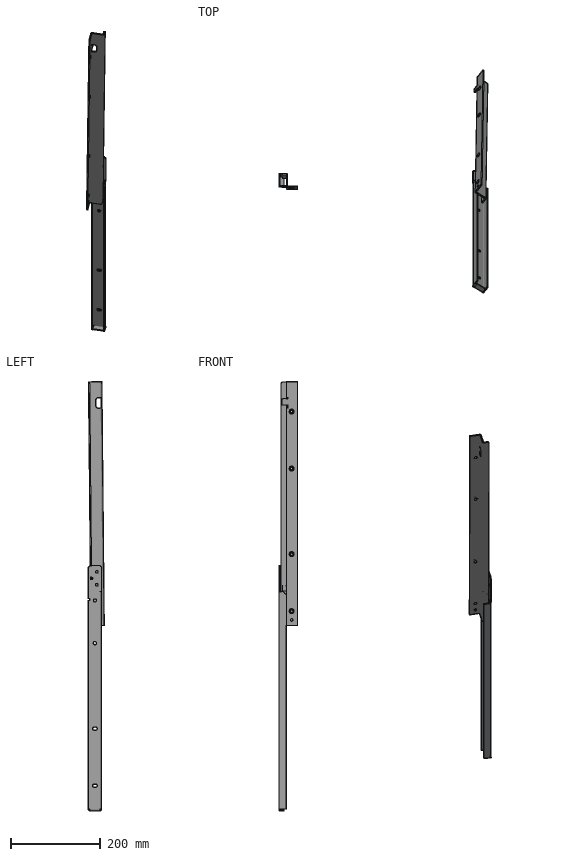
import cadquery as cq
import math

sheet = 3.0
outer_bend = 3.5
overall_height = 964.18
overall_depth = 36.43
overall_width = 42.5
rail_depth = 30.5
system_pitch = 32.0

lower_length = 551.0
lower_front = overall_depth - rail_depth
lower_middle = lower_front + rail_depth / 2
channel_width = 16.8
web_corner = 4.0
front_flange_top = 492.5
front_flange_chamfer = 7.0
back_flange_top = 473.0
relief_height = 4.0
flange_bottom = 4.5
floor_reach = 12.0
floor_taper = 4.0
lowest_slot = 57.0
slot_steps = (0, 4)
hole_steps = (10, 13)
small_hole_diameter = 7.0
slot_length = 10.0
slot_height = 6.5
rivet_pitch = 29.0
rivet_diameter = 6.0
rivet_middle = 522.5
rivet_offset = 4.4
locating_diameter = 5.0
locating_offset = 7.3

upper_bottom = 416.6
lean_angle = 0.56
upper_length = (overall_height - upper_bottom) / math.cos(math.radians(lean_angle))
back_flange_edge = 4.8
web_start = channel_width
flange_corner = 3.0
stop_top = 90.0
stop_height = 12.0
stop_depth = 3.8
stop_edge = 8.5
screw_x = 28.9
first_screw = 32.4
screw_diameter = 5.5
countersink_diameter = 11.0
countersink_angle = 90.0
screw_steps = (0, 4, 10, 14)
pin_hole_height = 12.6
pin_hole_diameter = 5.0
hook_edge = 7.2
hook_height = 14.5
hook_middle = 502.0
hook_corner = 2.0
window_height = 23.0
window_middle = 500.0
window_depth = 14.0
window_corner = 5.0


def box(x_range, y_range, z_range):
    sizes = [end - start for start, end in (x_range, y_range, z_range)]
    return cq.Workplane().box(*sizes, centered=False).translate((x_range[0], y_range[0], z_range[0]))


def rod_x(diameter, y, z, length):
    return cq.Workplane("YZ").center(y, z).circle(diameter / 2).extrude(length)


def add_bend(outline, start, corner, end):
    """Adds a line to start, then a quarter round to end in place of the square corner."""
    share = 1 - math.sqrt(0.5)
    middle = [c + ((s - c) + (e - c)) * share for s, c, e in zip(start, corner, end)]
    return outline.lineTo(*start).threePointArc(tuple(middle), end)


def make_flange(y_outer, inward, top):
    """Side flange with its bend. Inward is +1 for the front flange and -1 for the back one."""
    y_inner = y_outer + inward * sheet
    y_tangent = y_outer + inward * outer_bend
    outline = cq.Workplane("XY", origin=(0, 0, flange_bottom)).moveTo(sheet, y_tangent)
    outline = add_bend(outline, (0, y_tangent), (0, y_outer), (outer_bend, y_outer))
    outline = outline.lineTo(channel_width, y_outer).lineTo(channel_width, y_inner)
    outline = add_bend(outline, (outer_bend, y_inner), (sheet, y_inner), (sheet, y_tangent))
    return outline.close().extrude(top - flange_bottom)


def make_floor():
    """Tapered floor, joined to the web by a bend."""
    outline = cq.Workplane("XZ", origin=(0, overall_depth, 0)).moveTo(sheet, outer_bend)
    outline = add_bend(outline, (0, outer_bend), (0, 0), (outer_bend, 0))
    outline = outline.lineTo(floor_reach, 0).lineTo(floor_reach, sheet)
    outline = add_bend(outline, (outer_bend, sheet), (sheet, sheet), (sheet, outer_bend))
    bent_strip = outline.close().extrude(rail_depth)
    taper_outline = (
        cq.Workplane("YZ")
        .moveTo(lower_front + floor_taper, 0)
        .lineTo(overall_depth - floor_taper, 0)
        .lineTo(overall_depth, outer_bend)
        .lineTo(lower_front, outer_bend)
        .close()
        .extrude(floor_reach)
    )
    return bent_strip.intersect(taper_outline)


def make_lower_rail():
    front_bend = lower_front + outer_bend
    back_bend = overall_depth - outer_bend
    rail = box((0, sheet), (front_bend, back_bend), (outer_bend, lower_length))
    rail = rail.union(box((0, sheet), (lower_front, front_bend), (front_flange_top, lower_length)))
    relief_top = back_flange_top + relief_height
    rail = rail.union(box((0, sheet), (back_bend, overall_depth), (relief_top, lower_length)))
    rail = rail.edges("|X and >Z").chamfer(web_corner)

    front_flange = make_flange(lower_front, 1, front_flange_top)
    front_flange = front_flange.edges("|Y and >X and >Z").chamfer(front_flange_chamfer)
    rail = rail.union(front_flange)
    rail = rail.union(make_flange(overall_depth, -1, back_flange_top))
    rail = rail.union(make_floor())

    for step in slot_steps:
        z = lowest_slot + step * system_pitch
        slot = cq.Workplane("YZ").center(lower_middle, z).slot2D(slot_length, slot_height).extrude(sheet)
        rail = rail.cut(slot)
    for step in hole_steps:
        z = lowest_slot + step * system_pitch
        rail = rail.cut(rod_x(small_hole_diameter, lower_middle, z, sheet))

    for z in (rivet_middle - rivet_pitch / 2, rivet_middle + rivet_pitch / 2):
        rail = rail.cut(rod_x(rivet_diameter, lower_middle - rivet_offset, z, sheet))
    return rail.cut(rod_x(locating_diameter, lower_middle + locating_offset, rivet_middle, sheet))


def make_upper_rail():
    """Built upright from Z = 0 with its front plate on Y = 0, then leaned and lifted."""
    web_end = web_start + sheet
    back_inner = rail_depth - sheet
    front_tangent = web_start + outer_bend
    back_tangent = web_end - outer_bend

    outline = cq.Workplane("XY").moveTo(overall_width, 0).lineTo(overall_width, sheet)
    outline = add_bend(outline, (front_tangent, sheet), (web_end, sheet), (web_end, outer_bend))
    outline = add_bend(
        outline,
        (web_end, rail_depth - outer_bend),
        (web_end, rail_depth),
        (back_tangent, rail_depth),
    )
    outline = outline.lineTo(back_flange_edge, rail_depth).lineTo(back_flange_edge, back_inner)
    outline = add_bend(
        outline,
        (back_tangent, back_inner),
        (web_start, back_inner),
        (web_start, rail_depth - outer_bend),
    )
    outline = add_bend(outline, (web_start, outer_bend), (web_start, 0), (front_tangent, 0))
    rail = outline.close().extrude(upper_length)

    stop = (
        cq.Workplane("YZ", origin=(stop_edge, 0, 0))
        .moveTo(back_inner, stop_top)
        .lineTo(back_inner - stop_depth, stop_top - stop_height)
        .lineTo(back_inner, stop_top - stop_height)
        .close()
        .extrude(web_start - stop_edge)
    )
    rail = rail.union(stop)
    rail = rail.edges("|Y and <X and >Z").chamfer(flange_corner)

    window = box(
        (web_start, front_tangent),
        (0, window_depth),
        (window_middle - window_height / 2, window_middle + window_height / 2),
    )
    window = window.edges("|X and >Y").fillet(window_corner)
    hook = box(
        (hook_edge, front_tangent),
        (0, sheet),
        (hook_middle - hook_height / 2, hook_middle + hook_height / 2),
    )
    hook = hook.edges("|Y and <X").fillet(hook_corner)
    rail = rail.cut(window).union(hook)

    screw_heights = [first_screw + step * system_pitch for step in screw_steps]
    rail = (
        rail.faces("<Y")
        .workplane(origin=(0, 0, 0))
        .pushPoints([(screw_x, z) for z in screw_heights])
        .cskHole(screw_diameter, countersink_diameter, countersink_angle)
    )
    pin_hole = (
        cq.Workplane("XZ").center(screw_x, pin_hole_height).circle(pin_hole_diameter / 2).extrude(-sheet)
    )
    rail = rail.cut(pin_hole)
    return rail.rotate((0, 0, 0), (1, 0, 0), -lean_angle).translate((0, 0, upper_bottom))


lower_rail = make_lower_rail()
upper_rail = make_upper_rail()
result = cq.Compound.makeCompound([lower_rail.val(), upper_rail.val()])